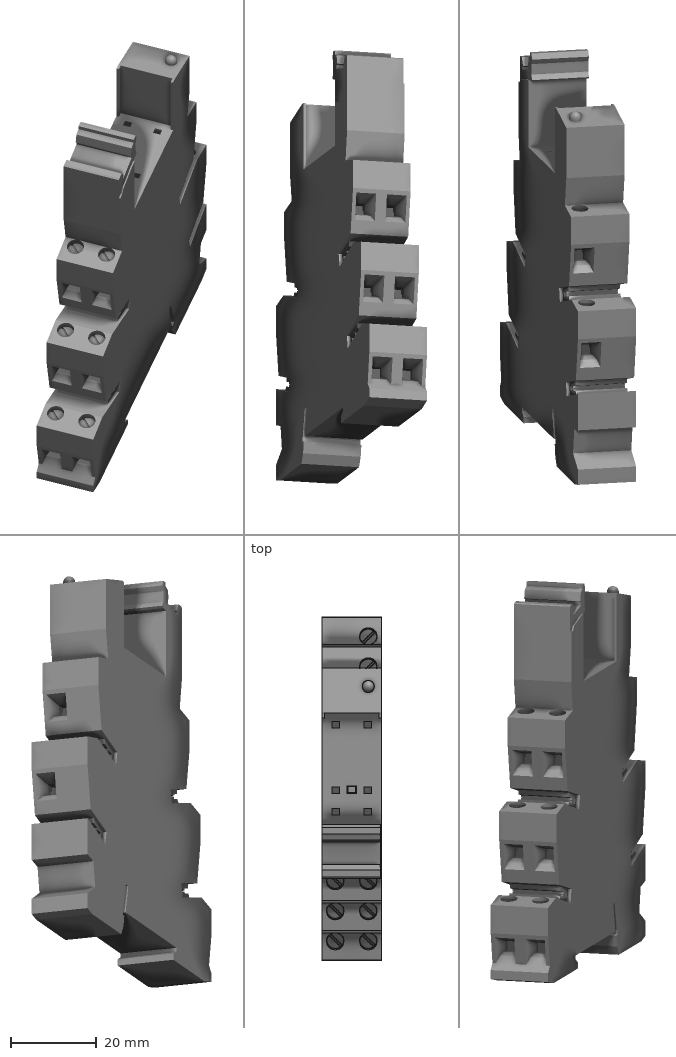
import cadquery as cq
import math

WIDTH = 13.95
FRONT = -1
REAR = 1
DEPTH_END = 40.0
RAIL_HOOK_Z = 2.6

AXIS_Y = 3.5
TIER_PITCH_Y = 7.0
TIER_PITCH_Z = 21.0
TOP_TIER_REACH = 29.5
TOP_TIER_SHOULDER_Z = 63.2
RIDGE_INSET = 6.4
RIDGE_RISE = 1.24
WALL_HEIGHT = 6.7
NOSE_INSET = 2.1
NOSE_DROP = 17.1
SCREW_FACE_TILT = math.degrees(math.atan2(RIDGE_RISE, RIDGE_INSET))
ENTRY_FACE_TILT = math.degrees(math.atan2(NOSE_INSET, NOSE_DROP - WALL_HEIGHT))

SLOT_TILT = 15.0
SLOT_HEIGHT = 3.25
SLOT_LENGTH = 12.5
CLIP_WIDTH = 12.35
CLIP_LENGTH = 6.6
CLIP_TIP_BEVEL = 0.5
CLIP_WEB = 1.1
CLIP_ARM = 1.05
CLIP_BARB_START = 1.3
CLIP_BARB_END = 3.8
CLIP_BARB_HEIGHT = 0.5

BAY_FLOOR_Z = 69.85
BAY_FRONT_Y = -10.75
BAY_REAR_Y = 16.45
REAR_TOWER_Y = 28.1
REAR_TOWER_EDGE_Z = 83.4
TOWER_TOP_Z = 85.7
TOWER_BEND_Z = 71.35
FRONT_TOWER_Y = -20.9
RECESS_DEPTH = 1.25
RECESS_WIDTH = 12.8

CAP_SIDE_STEP = 0.33
CAP_TOP_Z = 92.6
CAP_SEAT = [(-10.75, 85.8), (-12.8, 85.6), (-18.5, 84.3), (-19.5, 83.25), (FRONT_TOWER_Y, 83.25)]

SCREW_X = 3.85
SCREW_INSET = 4.45
SCREW_DIAMETER = 4.0
SCREW_DEPTH = 1.6
DRIVE_SLOT_WIDTH = 0.5
DRIVE_SLOT_DEPTH = 0.5
DRIVE_SLOT_ANGLE = 45.0
ENTRY_X = 3.7
MOUTH_WIDTH = 4.8
MOUTH_TOP_DROP = 7.7
MOUTH_BOTTOM_DROP = 13.95
RAMP_DROP = 12.45
BORE_WIDTH = 2.3
BORE_TOP_DROP = 9.2
BORE_BOTTOM_DROP = 11.8
FUNNEL_DEPTH = 4.5
BORE_DEPTH = 2.0
CLAMP_TIERS = (0, 1)
CLAMP_STEP = 1.0

SOCKET_X = 3.7
SOCKET_ROWS_Y = [14.9, -0.3, -5.3]
SOCKET_SIZE_X = 1.8
SOCKET_SIZE_Y = 1.5
SOCKET_DEPTH = 2.0
BUTTON_Y = -0.2
BUTTON_SIZE_X = 2.2
BUTTON_SIZE_Y = 1.8
BUTTON_HEIGHT = 0.25
BUTTON_CHAMFER = 0.2
LED_X = 3.85
LED_Y = 23.85
LED_RADIUS = 1.4
LED_CENTER_Z = 84.75
LED_STEM = 1.5


def tier_point(side, tier, inset, rise):
    """(y, z) of a point given by its inset from a tier wall and its rise over the shoulder."""
    reach = TOP_TIER_REACH + tier * TIER_PITCH_Y
    return (AXIS_Y + side * (reach - inset), TOP_TIER_SHOULDER_Z - tier * TIER_PITCH_Z + rise)


def entry_face_inset(drop):
    """Inset of the leaning wire-entry face at a drop below the shoulder."""
    return (drop - WALL_HEIGHT) * math.tan(math.radians(ENTRY_FACE_TILT))


def slot_point(side, tier, along, up):
    """(y, z) in the slot above a tier: along runs outward from the closed end, up is across it."""
    tilt = math.radians(SLOT_TILT)
    inward = SLOT_LENGTH - along
    inset = RIDGE_INSET + inward * math.cos(tilt) + up * math.sin(tilt)
    rise = RIDGE_RISE - inward * math.sin(tilt) + up * math.cos(tilt)
    return tier_point(side, tier, inset, rise)


def tier_face(side, tier):
    """Shoulder, foot of the upright wall and nose of one tier, from top to bottom."""
    return [
        tier_point(side, tier, 0, 0),
        tier_point(side, tier, 0, -WALL_HEIGHT),
        tier_point(side, tier, NOSE_INSET, -NOSE_DROP),
    ]


def slot_end(side, tier):
    """Closed end of the slot above a tier, from top to bottom."""
    return [slot_point(side, tier, 0, SLOT_HEIGHT), slot_point(side, tier, 0, 0)]


def upper_side(side):
    """Outline of the top and middle tiers and the slots below them, from top to bottom."""
    ridge = tier_point(side, 1, RIDGE_INSET, RIDGE_RISE)
    return tier_face(side, 0) + slot_end(side, 1) + [ridge] + tier_face(side, 1) + slot_end(side, 2)


def prism(points, width):
    """Solid of a YZ outline, centred on X = 0."""
    return cq.Workplane("YZ").polyline(points).close().extrude(width / 2, both=True)


def make_body():
    rear_tower = [
        (BAY_REAR_Y, BAY_FLOOR_Z),
        (BAY_REAR_Y, TOWER_TOP_Z),
        (BAY_REAR_Y + RECESS_DEPTH, TOWER_TOP_Z),
        (REAR_TOWER_Y, REAR_TOWER_EDGE_Z),
        (REAR_TOWER_Y, TOWER_BEND_Z),
        tier_point(REAR, 0, RIDGE_INSET, RIDGE_RISE),
    ]
    rear_foot = [
        (DEPTH_END, 22.4),
        (DEPTH_END, 13.7),
        (36.2, 13.0),
        (35.0, 7.05),
        (DEPTH_END, 4.3),
        (DEPTH_END, 0.65),
        (36.9, 0),
        (18.2, 0),
    ]
    rail_catch = [(16.8, 2.2), (16.2, 4.9), (17.15, 5.1), (17.15, 6.1)]
    spring_slot = [(15.2, 12.85), (13.85, 12.85), (13.85, 11.8), (15.4, 6.0)]
    rail_hook = [(-17.35, 6.0), (-17.35, 5.1), (-15.5, 4.1), (-15.5, RAIL_HOOK_Z)]
    ledge_inset = entry_face_inset(MOUTH_BOTTOM_DROP)
    ledge = tier_point(FRONT, 2, ledge_inset, -MOUTH_BOTTOM_DROP)
    ledge_z = ledge[1]
    front_foot = [(-35.5, RAIL_HOOK_Z), (-DEPTH_END, 3.65), (-DEPTH_END, ledge_z - ledge_inset), ledge]
    front_bottom_tier = [
        tier_point(FRONT, 2, 0, -WALL_HEIGHT),
        tier_point(FRONT, 2, 0, 0),
        tier_point(FRONT, 2, RIDGE_INSET, RIDGE_RISE),
    ]
    front_tower = [
        tier_point(FRONT, 0, RIDGE_INSET, RIDGE_RISE),
        (FRONT_TOWER_Y, TOWER_BEND_Z),
        *reversed(CAP_SEAT),
        (BAY_FRONT_Y, BAY_FLOOR_Z),
    ]
    outline = rear_tower + upper_side(REAR) + rear_foot + rail_catch + spring_slot + rail_hook
    outline += front_foot + front_bottom_tier + upper_side(FRONT)[::-1] + front_tower
    return prism(outline, WIDTH)


def make_tower_recess():
    height = CAP_TOP_Z - BAY_FLOOR_Z
    corner = (-RECESS_WIDTH / 2, BAY_REAR_Y, BAY_FLOOR_Z)
    return cq.Workplane("XY").box(RECESS_WIDTH, RECESS_DEPTH, height, centered=False).translate(corner)


def make_cap():
    latch = [
        (-8.85, 85.95),
        (-8.35, 86.4),
        (-9.0, 87.6),
        (-9.0, 90.1),
        (-8.35, 91.3),
        (-9.0, CAP_TOP_Z),
        (-10.5, CAP_TOP_Z),
        (-10.5, 91.65),
        (-11.9, 91.1),
        (-12.45, 89.0),
        (-11.95, 88.8),
        (-11.85, 87.9),
    ]
    label_seat = [(-18.0, 86.75), (-18.05, 87.3), (-17.65, 87.65)]
    front_lip = [(-18.9, 89.5), (-20.5, 89.4), (FRONT_TOWER_Y, 89.2)]
    outline = latch + label_seat + front_lip + CAP_SEAT[::-1]
    cap = prism(outline, WIDTH - CAP_SIDE_STEP)
    return cap.translate((-CAP_SIDE_STEP / 2, 0, 0))


def make_clip(side, tier):
    """U-shaped clip with a barb on each arm, lining the slot above a tier."""
    lower_arm = [
        (0, 0),
        (CLIP_LENGTH, 0),
        (CLIP_LENGTH - CLIP_TIP_BEVEL, CLIP_ARM),
        (CLIP_BARB_END, CLIP_ARM),
        (CLIP_BARB_END, CLIP_ARM + CLIP_BARB_HEIGHT),
        (CLIP_BARB_START, CLIP_ARM),
        (CLIP_WEB, CLIP_ARM),
    ]
    upper_arm = [(along, SLOT_HEIGHT - up) for along, up in reversed(lower_arm)]
    outline = [slot_point(side, tier, along, up) for along, up in lower_arm + upper_arm]
    return prism(outline, CLIP_WIDTH)


def make_screw_well(side, tier, x):
    """Round well down to a screw head, with the screwdriver slot below it."""
    tilt = math.radians(SCREW_FACE_TILT)
    y, z = tier_point(side, tier, SCREW_INSET, SCREW_INSET * math.tan(tilt))
    normal = (0, side * math.sin(tilt), math.cos(tilt))
    face = cq.Plane(origin=(x, y, z), xDir=(1, 0, 0), normal=normal)
    radius = SCREW_DIAMETER / 2
    well = cq.Workplane(face).circle(radius).extrude(-SCREW_DEPTH)
    drive_depth = SCREW_DEPTH + DRIVE_SLOT_DEPTH
    drive = cq.Workplane(face).transformed(rotate=(0, 0, side * DRIVE_SLOT_ANGLE))
    drive = drive.rect(SCREW_DIAMETER, DRIVE_SLOT_WIDTH).extrude(-drive_depth)
    drive = drive.intersect(cq.Workplane(face).circle(radius).extrude(-drive_depth))
    return well.union(drive)


def make_wire_entry(side, tier, x, has_clamp):
    """Wire funnel with a ramped floor and a bore behind it, going in from the leaning tier face."""
    tilt = math.radians(ENTRY_FACE_TILT)
    mouth_top_inset = entry_face_inset(MOUTH_TOP_DROP)
    mouth_bottom_inset = entry_face_inset(MOUTH_BOTTOM_DROP)
    ramp_inset = mouth_bottom_inset + MOUTH_BOTTOM_DROP - RAMP_DROP
    throat_inset = mouth_top_inset + FUNNEL_DEPTH
    bore_end = throat_inset + BORE_DEPTH
    bore_step = []
    bore_top_end = bore_end
    if has_clamp:
        bore_middle_drop = (BORE_TOP_DROP + BORE_BOTTOM_DROP) / 2
        bore_top_end = bore_end + CLAMP_STEP
        bore_step = [(bore_end, bore_middle_drop), (bore_top_end, bore_middle_drop)]
    side_profile = [
        (mouth_top_inset, MOUTH_TOP_DROP),
        (mouth_bottom_inset, MOUTH_BOTTOM_DROP),
        (ramp_inset, RAMP_DROP),
        (throat_inset, BORE_BOTTOM_DROP),
        (bore_end, BORE_BOTTOM_DROP),
        *bore_step,
        (bore_top_end, BORE_TOP_DROP),
        (throat_inset, BORE_TOP_DROP),
    ]
    entry = prism([tier_point(side, tier, inset, -drop) for inset, drop in side_profile], MOUTH_WIDTH)
    entry = entry.translate((x, 0, 0))

    along_face = (0, side * math.sin(tilt), math.cos(tilt))
    y, z = tier_point(side, tier, mouth_top_inset, -MOUTH_TOP_DROP)
    plan = cq.Plane(origin=(x, y, z), xDir=(1, 0, 0), normal=along_face)
    past_bore = 2 * (FUNNEL_DEPTH + BORE_DEPTH + CLAMP_STEP)
    plan_half = [(MOUTH_WIDTH / 2, 0), (BORE_WIDTH / 2, FUNNEL_DEPTH), (BORE_WIDTH / 2, past_bore)]
    right_wall = [(half, -side * depth) for half, depth in plan_half]
    left_wall = [(-half, depth) for half, depth in reversed(right_wall)]
    taper = cq.Workplane(plan).polyline(right_wall + left_wall).close()
    return entry.intersect(taper.extrude(MOUTH_BOTTOM_DROP, both=True))


def make_sockets():
    places = [(x, y) for y in SOCKET_ROWS_Y for x in (-SOCKET_X, SOCKET_X)]
    floor = cq.Workplane("XY", origin=(0, 0, BAY_FLOOR_Z))
    return floor.pushPoints(places).rect(SOCKET_SIZE_X, SOCKET_SIZE_Y).extrude(-SOCKET_DEPTH)


def make_button():
    floor = cq.Workplane("XY", origin=(0, BUTTON_Y, BAY_FLOOR_Z))
    button = floor.rect(BUTTON_SIZE_X, BUTTON_SIZE_Y).extrude(BUTTON_HEIGHT)
    return button.faces(">Z").chamfer(BUTTON_CHAMFER)


def make_led():
    center = cq.Workplane("XY", origin=(LED_X, LED_Y, LED_CENTER_Z))
    return center.sphere(LED_RADIUS).union(center.circle(LED_RADIUS).extrude(-LED_STEM))


result = make_body().cut(make_tower_recess()).union(make_cap())
for slot_side in (FRONT, REAR):
    for lower_tier in (1, 2):
        result = result.union(make_clip(slot_side, lower_tier))

terminals = [(FRONT, tier, hand) for tier in (0, 1, 2) for hand in (-1, 1)]
terminals += [(REAR, tier, 1) for tier in (0, 1)]
for terminal_side, terminal_tier, hand in terminals:
    result = result.cut(make_screw_well(terminal_side, terminal_tier, hand * SCREW_X))
    stepped = terminal_tier in CLAMP_TIERS
    result = result.cut(make_wire_entry(terminal_side, terminal_tier, hand * ENTRY_X, stepped))

result = result.cut(make_sockets()).union(make_button()).union(make_led())